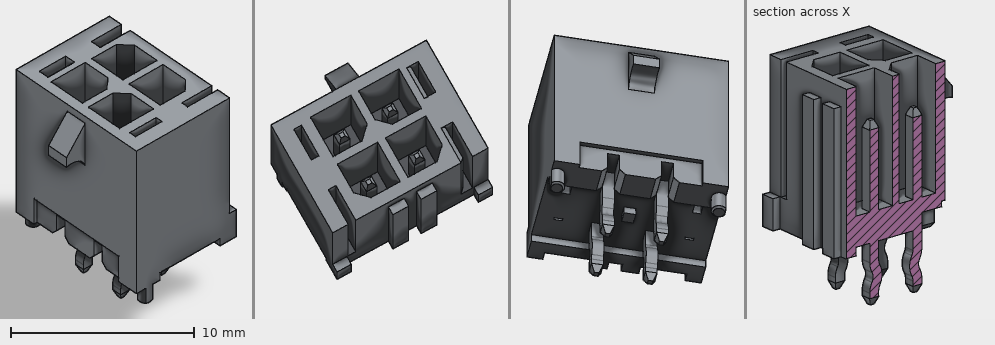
import cadquery as cq


body_width = 9.7
body_depth = 6.89
body_height = 9.92
half_width = body_width / 2

pitch = 3.0
grid_center_y = 3.43
column_signs = (-1, 1)
row_signs = (-1, 1)

cavity_size = 2.52
cavity_floor_z = 2.36
key_cut = 0.7

pin_size = 0.65
pin_tip_size = 0.26
pin_taper = 0.47
pin_top_z = 7.6
pin_bottom_z = body_height - 13.1
kink_center_z = -1.49
kink_half_length = 0.89
kink_offset = 0.229

recess_height = 0.51
recess_front_y = 1.74
recess_back_y = 6.17
post_size = 0.65
post_height = 0.47

pocket_width = 6.83
pocket_height = 1.77
pocket_depth = 0.24
channel_height = 1.44
channel_mouth_width = 1.31
channel_mouth_height = 0.34

latch_width = 1.44
latch_reach = 1.38
latch_top_z = 9.43
latch_nose_top_z = 7.78
latch_nose_bottom_z = 7.1
latch_arc_y = -0.95
latch_arc_z = 7.18
latch_root_z = 6.51

back_reach = 0.5
foot_width = 0.89
foot_height = 1.89
rib_width = 0.98
rib_center_x = 0.88
rib_height = 8.76

slot_outer_x = 3.88
slot_width = 0.47
front_slot_y = (0.83, 2.78)
rear_slot_front_y = 4.68
rear_slot_ledge_y = 4.81
rear_slot_floor_z = foot_height
lead_in = 0.25

peg_diameter = 0.85
peg_center_x = 4.5
peg_center_y = 0.95
peg_length = 1.13
peg_chamfer = 0.1


def block(x_range, y_range, z_range):
    """Box spanning the given X, Y and Z ranges."""
    ranges = (x_range, y_range, z_range)
    sizes = [high - low for low, high in ranges]
    corner = tuple(low for low, high in ranges)
    return cq.Workplane("XY").box(*sizes, centered=False).translate(corner)


def centered_range(center, size):
    return (center - size / 2, center + size / 2)


def side_prism(points, x_range):
    """Straight-sided Y-Z outline extruded along X."""
    start, end = x_range
    return cq.Workplane("YZ", origin=(start, 0, 0)).polyline(points).close().extrude(end - start)


def front_prism(points, y_range):
    """Straight-sided X-Z outline extruded along Y."""
    start, end = y_range
    return cq.Workplane("XZ", origin=(0, start, 0)).polyline(points).close().extrude(start - end)


def column_x(column):
    return column * pitch / 2


def row_y(row):
    return grid_center_y + row * pitch / 2


def cavity(column, row):
    """Square cavity; rear ones are keyed on the outer back corner, front ones on the inner."""
    key_side = column * row
    key_edge = "|Z and >Y and >X" if key_side > 0 else "|Z and >Y and <X"
    x_range = centered_range(column_x(column), cavity_size)
    y_range = centered_range(row_y(row), cavity_size)
    return block(x_range, y_range, (cavity_floor_z, body_height)).edges(key_edge).chamfer(key_cut)


def pin_tip(x, y, z, direction):
    """Truncated pyramid pointing up (+1) or down (-1) from height z."""
    plane = cq.Workplane("XY", origin=(x, y, z)).rect(pin_size, pin_size)
    return plane.workplane(offset=direction * pin_taper).rect(pin_tip_size, pin_tip_size).loft()


def pin(column, row):
    """Square pin whose tail is kinked towards the other row, with a tapered tip at each end."""
    x = column_x(column)
    y = row_y(row)
    shaft_top = pin_top_z - pin_taper
    shaft_bottom = pin_bottom_z + pin_taper
    peak_y = y - row * kink_offset
    inflection_y = (y + peak_y) / 2
    path = (
        cq.Workplane("YZ", origin=(x, 0, 0))
        .moveTo(y, shaft_top)
        .lineTo(y, kink_center_z + kink_half_length)
        .tangentArcPoint((inflection_y, kink_center_z + kink_half_length / 2), relative=False)
        .tangentArcPoint((peak_y, kink_center_z), relative=False)
        .tangentArcPoint((inflection_y, kink_center_z - kink_half_length / 2), relative=False)
        .tangentArcPoint((y, kink_center_z - kink_half_length), relative=False)
        .lineTo(y, shaft_bottom)
    )
    shaft = cq.Workplane("XY", origin=(x, y, shaft_top)).rect(pin_size, pin_size).sweep(path)
    return shaft.union(pin_tip(x, y, shaft_top, 1)).union(pin_tip(x, y, shaft_bottom, -1))


def channel(column):
    """Slot from the front pocket back to a front pin, flared at its lower edge."""
    x = column_x(column)
    slot_half = pin_size / 2
    mouth_half = channel_mouth_width / 2
    outline = [
        (x - mouth_half, 0),
        (x - slot_half, channel_mouth_height),
        (x - slot_half, channel_height),
        (x + slot_half, channel_height),
        (x + slot_half, channel_mouth_height),
        (x + mouth_half, 0),
    ]
    return front_prism(outline, (0, recess_front_y))


def latch():
    """Ramp with a blunt nose and a concave underside."""
    return (
        cq.Workplane("YZ")
        .moveTo(0, latch_top_z)
        .lineTo(-latch_reach, latch_nose_top_z)
        .lineTo(-latch_reach, latch_nose_bottom_z)
        .threePointArc((latch_arc_y, latch_arc_z), (0, latch_root_z))
        .close()
        .extrude(latch_width / 2, both=True)
    )


def slot_x_range(side):
    inner_x = slot_outer_x - slot_width
    return tuple(sorted((side * inner_x, side * slot_outer_x)))


def front_slot(side):
    """Closed slot opening into the underside recess."""
    return block(slot_x_range(side), front_slot_y, (recess_height, body_height))


def rear_slot(side):
    """Slot open at the back, resting on a ledge and dropping through in front of it."""
    x_range = slot_x_range(side)
    over_ledge = block(x_range, (rear_slot_front_y, body_depth), (rear_slot_floor_z, body_height))
    drop = block(x_range, (rear_slot_front_y, rear_slot_ledge_y), (recess_height, body_height))
    return over_ledge.union(drop)


def left_lead_in(y_range):
    """Bevel along the inner top edge of a left slot."""
    inner_x = slot_x_range(-1)[1]
    outline = [
        (inner_x, body_height - lead_in),
        (inner_x, body_height),
        (inner_x + lead_in, body_height),
    ]
    return front_prism(outline, y_range)


def left_rear_corner_cut():
    """Bevel on the upright back corner of the left rear slot."""
    inner_x = slot_x_range(-1)[1]
    outline = [
        (inner_x, body_depth - lead_in),
        (inner_x, body_depth),
        (inner_x + lead_in, body_depth),
    ]
    start = cq.Workplane("XY", origin=(0, 0, rear_slot_floor_z))
    return start.polyline(outline).close().extrude(body_height - rear_slot_floor_z)


def left_slot_wedge():
    """Sloped foot at the bottom of the left front slot."""
    inner_x = slot_x_range(-1)[1]
    outline = [
        (inner_x - lead_in, recess_height),
        (inner_x, recess_height),
        (inner_x, recess_height + lead_in),
    ]
    return front_prism(outline, (front_slot_y[0], recess_front_y))


def peg(side):
    """Round peg with a chamfered end, cut flat in line with the side wall."""
    round_peg = (
        cq.Workplane("XY", origin=(side * peg_center_x, peg_center_y, 0))
        .circle(peg_diameter / 2)
        .extrude(-peg_length)
        .faces("<Z")
        .chamfer(peg_chamfer)
    )
    within_walls = block((-half_width, half_width), (0, body_depth), (-peg_length, 0))
    return round_peg.intersect(within_walls)


full_width = (-half_width, half_width)
housing = block(full_width, (0, body_depth), (0, body_height))
housing = housing.cut(block(full_width, (recess_front_y, recess_back_y), (0, recess_height)))
housing = housing.cut(block(centered_range(0, pocket_width), (0, pocket_depth), (0, pocket_height)))
for column in column_signs:
    housing = housing.cut(channel(column))
    for row in row_signs:
        housing = housing.cut(cavity(column, row))

for side in column_signs:
    housing = housing.cut(front_slot(side)).cut(rear_slot(side))
housing = housing.cut(left_lead_in(front_slot_y))
housing = housing.cut(left_lead_in((rear_slot_front_y, body_depth)))
housing = housing.cut(left_rear_corner_cut())
housing = housing.union(left_slot_wedge())

housing = housing.union(latch())
back_range = (body_depth, body_depth + back_reach)
for side in column_signs:
    foot_x = centered_range(side * (half_width - foot_width / 2), foot_width)
    housing = housing.union(block(foot_x, back_range, (0, foot_height)))
    rib_x = centered_range(side * rib_center_x, rib_width)
    housing = housing.union(block(rib_x, back_range, (0, rib_height)))
    housing = housing.union(peg(side))
post_range_z = (recess_height - post_height, recess_height)
post_range_y = centered_range(grid_center_y, post_size)
housing = housing.union(block(centered_range(0, post_size), post_range_y, post_range_z))

result = housing
for column in column_signs:
    for row in row_signs:
        result = result.union(pin(column, row))